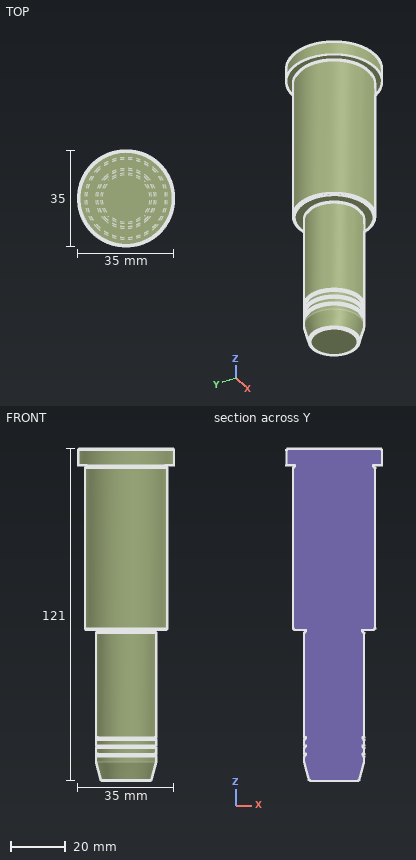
import cadquery as cq
import math

total_length = 121.0
head_height = 6.0
body_length = 60.0
taper_length = 7.0
taper_angle = 15.0

head_diameter = 35.0
body_diameter = 30.0
pin_diameter = 22.0

head_chamfer = 0.5
body_bottom_chamfer = 0.6
tip_chamfer = 0.5
relief_depth = 0.7
relief_width = 1.0

neck_length = 0.2

groove_count = 3
groove_pitch = 3.0
groove_width = 1.0
groove_depth = 0.6
lowest_groove_top = 9.9

head_bottom = total_length - head_height
body_bottom = head_bottom - body_length


def cylinder(diameter, bottom, top):
    """Solid cylinder on the Z axis between two heights."""
    return cq.Workplane("XY").workplane(offset=bottom).circle(diameter / 2).extrude(top - bottom)


def sloped_groove(diameter, top, width, depth):
    """Ring cut with a flat upper wall, a short straight neck and a slope out to the full diameter."""
    outer = diameter / 2
    neck = outer - depth
    return (
        cq.Workplane("XZ")
        .moveTo(neck, top)
        .lineTo(neck, top - neck_length)
        .lineTo(outer, top - width)
        .lineTo(outer, top)
        .close()
        .revolve(360, (0, 0, 0), (0, 1, 0))
    )


head = cylinder(head_diameter, head_bottom, total_length).faces(">Z").chamfer(head_chamfer)
body = cylinder(body_diameter, body_bottom, head_bottom).faces("<Z").chamfer(body_bottom_chamfer)
body = body.cut(sloped_groove(body_diameter, head_bottom, relief_width, relief_depth))

pin = cylinder(pin_diameter, taper_length, body_bottom)
pin = pin.cut(sloped_groove(pin_diameter, body_bottom, relief_width, relief_depth))
for index in range(groove_count):
    groove_top = lowest_groove_top + index * groove_pitch
    pin = pin.cut(sloped_groove(pin_diameter, groove_top, groove_width, groove_depth))

tip_radius = pin_diameter / 2 - taper_length * math.tan(math.radians(taper_angle))
tip = (
    cq.Workplane("XY")
    .circle(tip_radius)
    .workplane(offset=taper_length)
    .circle(pin_diameter / 2)
    .loft(ruled=True)
    .faces("<Z")
    .chamfer(tip_chamfer)
)

result = head.union(body).union(pin).union(tip)